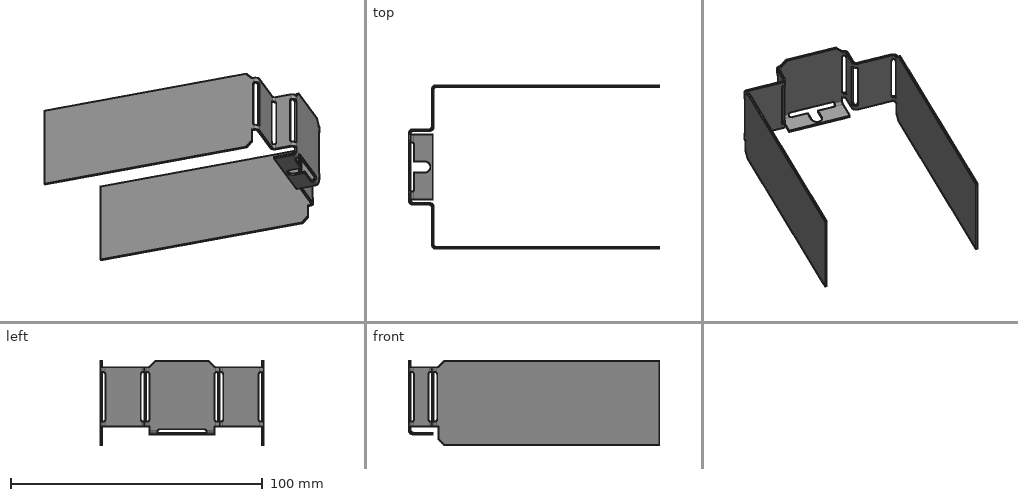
import cadquery as cq

thickness = 0.8
inner_radius = 1.0
outer_radius = inner_radius + thickness
middle_radius = inner_radius + thickness / 2

length = 99.6
width = 65.1
height = 33.5

corner_chamfer = 2.4

strip_top = -2.5
strip_bottom = -26.1
strip_height = strip_top - strip_bottom
strip_middle_z = (strip_top + strip_bottom) / 2
channel_width = 30.1
channel_depth = 10.0

wing_start = 11.8

plate_width = 25.9
plate_bottom = -29.3
tab_length = 9.6
notch_width = 4.3
notch_end = 8.6

slot_overrun = 0.3
slot_corner_radius = 0.9
slot_margin = 2.0
strip_slot_length = strip_height - 2 * slot_margin
tab_slot_length = 19.5


def block(x_range, y_range, z_range):
    """Box spanning the given coordinate ranges."""
    (x0, x1), (y0, y1), (z0, z1) = x_range, y_range, z_range
    return cq.Workplane("XY").box(x1 - x0, y1 - y0, z1 - z0, centered=False).translate((x0, y0, z0))


def folded_strip():
    """Strip swept along its middle line from one wing to the other."""
    half = thickness / 2
    channel_y = channel_width / 2 - half
    wing_y = width / 2 - half
    side_x = channel_depth - half
    start = (wing_start, -wing_y)
    corners = [
        (side_x, -wing_y),
        (side_x, -channel_y),
        (half, -channel_y),
        (half, channel_y),
        (side_x, channel_y),
        (side_x, wing_y),
    ]
    end = (wing_start, wing_y)
    points = [cq.Vector(x, y, strip_middle_z) for x, y in [start, *corners, end]]
    sharp_path = cq.Wire.makePolygon(points)
    path = sharp_path.fillet2D(middle_radius, sharp_path.Vertices()[1:-1])
    section = cq.Workplane("YZ", origin=points[0].toTuple()).rect(thickness, strip_height)
    return section.sweep(cq.Workplane(path))


def wing():
    """Flat wing on the -Y side with its two inner corners chamfered."""
    blank = block((wing_start, length), (-width / 2, thickness - width / 2), (-height, 0))
    return blank.edges("<X and |Y").chamfer(corner_chamfer)


def centre_plate():
    """Centre plate with chamfered upper corners and a notched tab along its lower edge."""
    plate = (
        cq.Workplane("XZ", origin=(0, plate_width / 2, 0))
        .lineTo(thickness, 0)
        .lineTo(thickness, plate_bottom + outer_radius)
        .radiusArc((outer_radius, plate_bottom + thickness), -inner_radius)
        .lineTo(tab_length, plate_bottom + thickness)
        .lineTo(tab_length, plate_bottom)
        .lineTo(outer_radius, plate_bottom)
        .radiusArc((0, plate_bottom + outer_radius), outer_radius)
        .close()
        .extrude(plate_width)
    )
    plate = plate.faces(">Z").edges("|X").chamfer(corner_chamfer)
    notch_centre = notch_end - notch_width / 2
    notch = block(
        (outer_radius, notch_centre),
        (-notch_width / 2, notch_width / 2),
        (plate_bottom, plate_bottom + thickness),
    )
    notch_round = (
        cq.Workplane("XY", origin=(notch_centre, 0, plate_bottom)).circle(notch_width / 2).extrude(thickness)
    )
    return plate.cut(notch).cut(notch_round)


def bend_slot(slot_length):
    """Cutter for a slot along a bend about Z, the bend filling the -X -Y quadrant."""
    cutter = (
        cq.Workplane("XY", origin=(0, 0, -slot_length / 2))
        .moveTo(-inner_radius, slot_overrun)
        .lineTo(-outer_radius, slot_overrun)
        .lineTo(-outer_radius, 0)
        .radiusArc((0, -outer_radius), -outer_radius)
        .lineTo(slot_overrun, -outer_radius)
        .lineTo(slot_overrun, -inner_radius)
        .lineTo(0, -inner_radius)
        .radiusArc((-inner_radius, 0), inner_radius)
        .close()
        .extrude(slot_length)
    )
    return cutter.edges("(>X and |Y) or (>Y and |X)").fillet(slot_corner_radius)


result = folded_strip().union(centre_plate()).union(wing()).union(wing().mirror("XZ"))

strip_bends = [
    (outer_radius, outer_radius - channel_width / 2, 0),
    (channel_depth - outer_radius, -channel_width / 2 - inner_radius, 180),
    (channel_depth + inner_radius, outer_radius - width / 2, 0),
]
for x, y, turn in strip_bends:
    slot = bend_slot(strip_slot_length).rotate((0, 0, 0), (0, 0, 1), turn).translate((x, y, strip_middle_z))
    result = result.cut(slot).cut(slot.mirror("XZ"))

tab_slot = bend_slot(tab_slot_length).rotate((0, 0, 0), (1, 0, 0), 90)
result = result.cut(tab_slot.translate((outer_radius, 0, plate_bottom + outer_radius)))